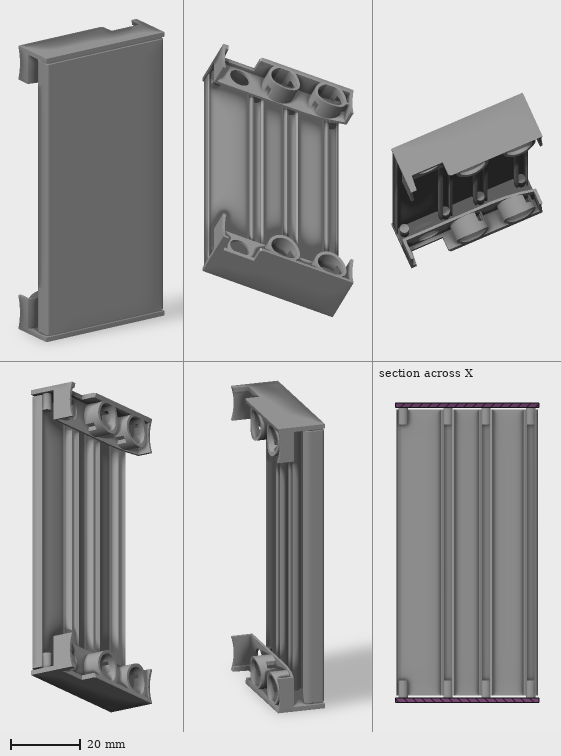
import cadquery as cq
import math

DEPTH = 14.3
WIDTH = 41.4
LENGTH = 86.5

PLATE_THICKNESS = 1.4
CAP_HEIGHT = 10.4
CAP_MIDDLE = CAP_HEIGHT / 2
WALL_BACK = 6.5
WALL_THICKNESS = 0.8
WALL_FRONT = WALL_BACK - WALL_THICKNESS
FLANGE_THICKNESS = 0.9
BEND_START = 13.8
BEND_OFFSET = 1.7
BEND_RADIUS = (BEND_START**2 + BEND_OFFSET**2) / (2 * BEND_OFFSET)
FRONT_HOLLOW = 0.8
FRONT_LAND = 0.3

NOTCH_DEPTH = 4.6
NOTCH_LOW = 29.5
NOTCH_HIGH_FRONT = WIDTH - 1.7
NOTCH_HIGH_BACK = WIDTH - 2.2
NOTCH_CHAMFER = 0.6

SOCKET_CENTRES = (6.9, 21.7)
SOCKET_OUTER_RADIUS = 5.0
SOCKET_BORE_RADIUS = 4.1
SLOT_INNER = 2.8
SLOT_OUTER = 4.3
SLOT_LENGTH = 2.9
BEND_SLOT_SHIFT = 0.4
HOLE_DIAMETER = 6.2
HOLE_CENTRE = 33.5
RIB_THICKNESS = 0.9
RIB_FRONT = 1.3
RIB_OVERLAP = 0.1

END_GAP = 0.6
PANEL_LENGTH = LENGTH - 2 * (PLATE_THICKNESS + END_GAP)
PANEL_EDGE = 0.3
PANEL_FACE = 12.1
BACK_FILLET = 0.8
PIN_DIAMETER = 2.7
PIN_HEIGHT = 4.9
CHANNEL_X = 10.2
CHANNEL_RADIUS = 2.1
CHANNEL_FILLET = 0.4
EDGE_OPENING = 1.0
OPENING_ANGLE = 110.0
EDGE_CHANNEL_Y = PANEL_EDGE + CHANNEL_RADIUS
CHANNEL_CENTRES = (EDGE_CHANNEL_Y, 15.2, 26.2)
FREE_PIN_Y = WIDTH - EDGE_CHANNEL_Y
PIN_CENTRES = (*CHANNEL_CENTRES, FREE_PIN_Y)

LIP_OUTSIDE = 41.3
LIP_TIP = 10.55
LIP_THICKNESS = 0.4
ROOT_RISE = 0.5
ROOT_WIDTH = 1.0
ROOT_RADIUS = 2.1
SELECT_MARGIN = 0.1


def box(x0, x1, y0, y1, z0, z1):
    return cq.Workplane("XY").box(x1 - x0, y1 - y0, z1 - z0, centered=False).translate((x0, y0, z0))


def cylinder_x(radius, y, x0, x1):
    """Cylinder along X at the middle height of the cap."""
    return cq.Workplane("YZ", origin=(x0, y, CAP_MIDDLE)).circle(radius).extrude(x1 - x0)


def behind_wall_surface(wall_x):
    """Everything from a wall surface backwards; the surface bends forwards near Y = 0."""
    mid_angle = math.asin(BEND_START / BEND_RADIUS) / 2
    mid_x = wall_x - BEND_RADIUS * (1 - math.cos(mid_angle))
    mid_y = BEND_START - BEND_RADIUS * math.sin(mid_angle)
    return (
        cq.Workplane("XY")
        .moveTo(wall_x - BEND_OFFSET, 0)
        .threePointArc((mid_x, mid_y), (wall_x, BEND_START))
        .lineTo(wall_x, WIDTH)
        .lineTo(DEPTH, WIDTH)
        .lineTo(DEPTH, 0)
        .close()
        .extrude(CAP_HEIGHT)
    )


def plate_notch():
    return (
        cq.Workplane("XY")
        .moveTo(0, NOTCH_LOW - NOTCH_CHAMFER)
        .lineTo(NOTCH_CHAMFER, NOTCH_LOW)
        .lineTo(NOTCH_DEPTH, NOTCH_LOW)
        .lineTo(NOTCH_DEPTH, NOTCH_HIGH_BACK)
        .lineTo(0, NOTCH_HIGH_FRONT)
        .close()
        .extrude(PLATE_THICKNESS)
    )


def front_hollow():
    """Shallow concave cut along the whole front of the cap."""
    return (
        cq.Workplane("XZ")
        .moveTo(0, FRONT_LAND)
        .threePointArc((FRONT_HOLLOW, CAP_MIDDLE), (0, CAP_HEIGHT - FRONT_LAND))
        .close()
        .extrude(-WIDTH)
    )


def make_socket(y, slot_side):
    """Tube on the wall with two slots at its root, on opposite sides of the axis."""
    socket = cylinder_x(SOCKET_OUTER_RADIUS, y, 0, WALL_FRONT)
    socket = socket.cut(cylinder_x(SOCKET_BORE_RADIUS, y, 0, WALL_FRONT))
    root = WALL_FRONT if y > BEND_START else WALL_FRONT - BEND_SLOT_SHIFT
    for side in (-1, 1):
        edges = sorted((y + side * SLOT_INNER, y + side * SLOT_OUTER))
        heights = sorted((CAP_MIDDLE, CAP_MIDDLE - side * slot_side * SOCKET_OUTER_RADIUS))
        socket = socket.cut(box(root - SLOT_LENGTH, WALL_FRONT, *edges, *heights))
    return socket.cut(behind_wall_surface(WALL_FRONT))


def make_rib():
    """Rib between the low Y flange and the nearest socket."""
    rib_end = SOCKET_CENTRES[0] - SOCKET_OUTER_RADIUS + RIB_OVERLAP
    half = RIB_THICKNESS / 2
    rib = box(RIB_FRONT, WALL_FRONT, 0, rib_end, CAP_MIDDLE - half, CAP_MIDDLE + half)
    return rib.cut(behind_wall_surface(WALL_FRONT))


def make_cap(slot_side, with_rib):
    """End cap with its plate at the bottom; slot_side picks which way round the socket slots lie."""
    room = box(0, DEPTH, 0, WIDTH, PLATE_THICKNESS, CAP_HEIGHT)

    wall = behind_wall_surface(WALL_FRONT)
    wall = wall.union(box(0, DEPTH, 0, FLANGE_THICKNESS, 0, CAP_HEIGHT))
    wall = wall.union(box(0, DEPTH, WIDTH - FLANGE_THICKNESS, WIDTH, 0, CAP_HEIGHT))
    wall = wall.cut(behind_wall_surface(WALL_BACK))
    wall = wall.cut(cylinder_x(HOLE_DIAMETER / 2, HOLE_CENTRE, 0, DEPTH))

    cap = box(0, DEPTH, 0, WIDTH, 0, PLATE_THICKNESS).cut(plate_notch())
    cap = cap.union(wall.intersect(room))
    for y in SOCKET_CENTRES:
        cap = cap.union(make_socket(y, slot_side).intersect(room))
    if with_rib:
        cap = cap.union(make_rib())
    cap = cap.cut(front_hollow())
    for y in PIN_CENTRES:
        pin_base = cq.Workplane("XY", origin=(CHANNEL_X, y, PLATE_THICKNESS))
        cap = cap.union(pin_base.circle(PIN_DIAMETER / 2).extrude(PIN_HEIGHT))
    return cap


def channel_bar(radius, y):
    return cq.Workplane("XY").center(CHANNEL_X, y).circle(radius).extrude(PANEL_LENGTH)


def channel_opening(y):
    """Flared mouth of a channel; the edge channel keeps a straight lip on its outer side."""
    flare = CHANNEL_RADIUS * math.tan(math.radians(OPENING_ANGLE / 2))
    if y == EDGE_CHANNEL_Y:
        low_side = [(-CHANNEL_RADIUS, -EDGE_OPENING), (0, -EDGE_OPENING)]
    else:
        low_side = [(-CHANNEL_RADIUS, -flare)]
    outline = [(0, 0), (-CHANNEL_RADIUS, flare), *low_side]
    return cq.Workplane("XY").center(CHANNEL_X, y).polyline(outline).close().extrude(PANEL_LENGTH)


def panel_base():
    """Flat plate with rounded back edges and a thin lip along its high Y edge."""
    lip_inside = LIP_OUTSIDE - LIP_THICKNESS
    lip_middle = LIP_OUTSIDE - LIP_THICKNESS / 2
    lip_shoulder = LIP_TIP + LIP_THICKNESS / 2
    return (
        cq.Workplane("XY")
        .moveTo(PANEL_FACE, PANEL_EDGE)
        .lineTo(DEPTH, PANEL_EDGE)
        .lineTo(DEPTH, LIP_OUTSIDE)
        .lineTo(lip_shoulder, LIP_OUTSIDE)
        .threePointArc((LIP_TIP, lip_middle), (lip_shoulder, lip_inside))
        .lineTo(PANEL_FACE - ROOT_RISE, lip_inside)
        .radiusArc((PANEL_FACE, lip_inside - ROOT_WIDTH), ROOT_RADIUS)
        .close()
        .extrude(PANEL_LENGTH)
        .edges("|Z and >X")
        .fillet(BACK_FILLET)
    )


def make_panel():
    """Extruded panel with three open channels for the cap pins."""
    panel_body = panel_base()
    for y in CHANNEL_CENTRES:
        panel_body = panel_body.union(channel_bar(CHANNEL_RADIUS, y))
    roots = cq.selectors.BoxSelector(
        (PANEL_FACE - SELECT_MARGIN, EDGE_CHANNEL_Y, 0),
        (PANEL_FACE + SELECT_MARGIN, HOLE_CENTRE, PANEL_LENGTH),
    )
    panel_body = panel_body.edges("|Z").edges(roots).fillet(CHANNEL_FILLET)
    panel_body = panel_body.union(box(CHANNEL_X, PANEL_FACE, PANEL_EDGE, EDGE_CHANNEL_Y, 0, PANEL_LENGTH))
    for y in CHANNEL_CENTRES:
        panel_body = panel_body.cut(channel_bar(PIN_DIAMETER / 2, y))
        panel_body = panel_body.cut(channel_opening(y))
    return panel_body.translate((0, 0, -PANEL_LENGTH / 2))


panel = make_panel()
lower_cap = make_cap(1, False).translate((0, 0, -LENGTH / 2))
upper_cap = make_cap(-1, True).mirror("XY").translate((0, 0, LENGTH / 2))
result = cq.Compound.makeCompound([panel.val(), lower_cap.val(), upper_cap.val()])